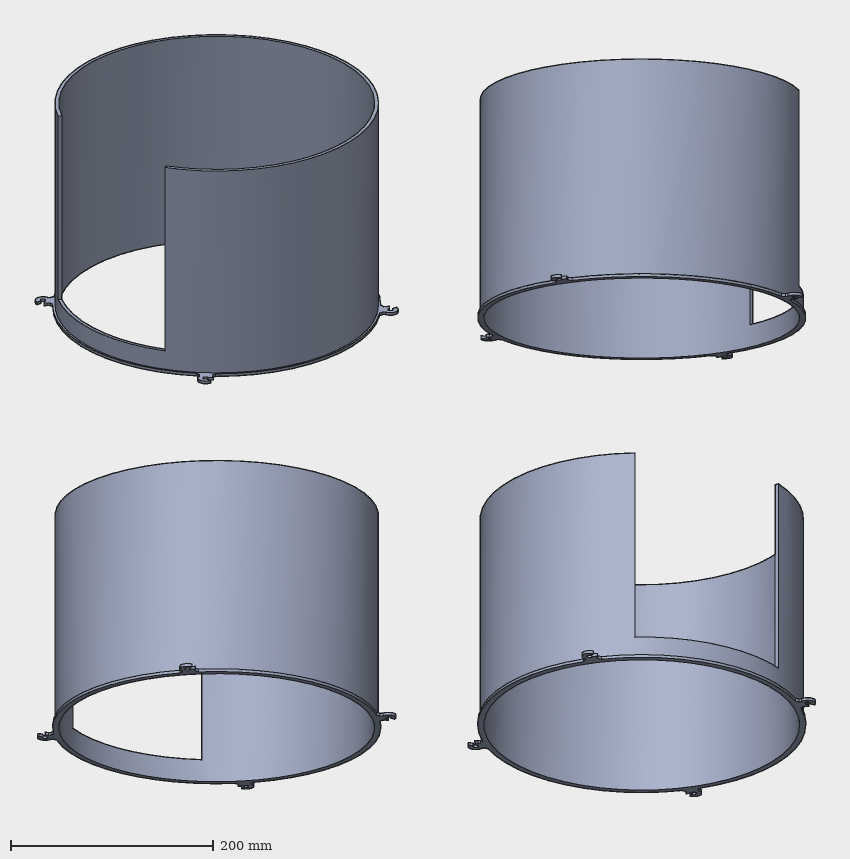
import cadquery as cq
import math

flange_radius = 162.2
flange_thickness = 3.0
tube_radius = 160.0
inner_radius = 156.0
total_height = 223.0

window_sill = 23.0
window_half_angle = 30.0

hook_count = 4
first_hook_angle = 45.0
hook_center_radius = 172.0
hook_radius = 7.8
hook_hole_radius = 2.5
tooth_edge_offset = 1.3
mouth_angle = 45.0
neck_half_width = 6.5
flare_start_radius = 164.8


def make_sleeve():
    flange = cq.Workplane("XY").circle(flange_radius).extrude(flange_thickness)
    tube = cq.Workplane("XY").circle(tube_radius).extrude(total_height)
    return flange.union(tube)


def make_bore():
    return cq.Workplane("XY").circle(inner_radius).extrude(total_height)


def make_window():
    """Wedge reaching from the axis past the wall on the -Y side."""
    reach = 2 * flange_radius
    half_width = reach * math.tan(math.radians(window_half_angle))
    return (
        cq.Workplane("XY")
        .workplane(offset=window_sill)
        .polyline([(0, 0), (-half_width, -reach), (half_width, -reach)])
        .close()
        .extrude(total_height - window_sill)
    )


def make_hook():
    """Hook on the +X axis, its mouth opening toward +Y."""
    root_radius = (tube_radius + inner_radius) / 2
    root_half_width = neck_half_width + flare_start_radius - root_radius
    disc = (
        cq.Workplane("XY")
        .center(hook_center_radius, 0)
        .circle(hook_radius)
        .extrude(flange_thickness)
    )
    neck = (
        cq.Workplane("XY")
        .moveTo(root_radius, -root_half_width)
        .lineTo(flare_start_radius, -neck_half_width)
        .lineTo(hook_center_radius, -neck_half_width)
        .lineTo(hook_center_radius, neck_half_width)
        .lineTo(flare_start_radius, neck_half_width)
        .lineTo(root_radius, root_half_width)
        .close()
        .extrude(flange_thickness)
    )
    hole = (
        cq.Workplane("XY")
        .center(hook_center_radius, 0)
        .circle(hook_hole_radius)
        .extrude(flange_thickness)
    )
    mouth_reach = 2 * hook_radius
    mouth_end_x = mouth_reach / math.tan(math.radians(mouth_angle))
    mouth = (
        cq.Workplane("XY")
        .center(hook_center_radius, 0)
        .moveTo(0, 0)
        .lineTo(mouth_end_x, mouth_reach)
        .lineTo(-tooth_edge_offset, mouth_reach)
        .lineTo(-tooth_edge_offset, 0)
        .close()
        .extrude(flange_thickness)
    )
    return disc.union(neck).cut(hole).cut(mouth)


result = make_sleeve()
hook = make_hook()
for index in range(hook_count):
    angle = first_hook_angle + index * 360 / hook_count
    result = result.union(hook.rotate((0, 0, 0), (0, 0, 1), angle))
result = result.cut(make_bore()).cut(make_window())